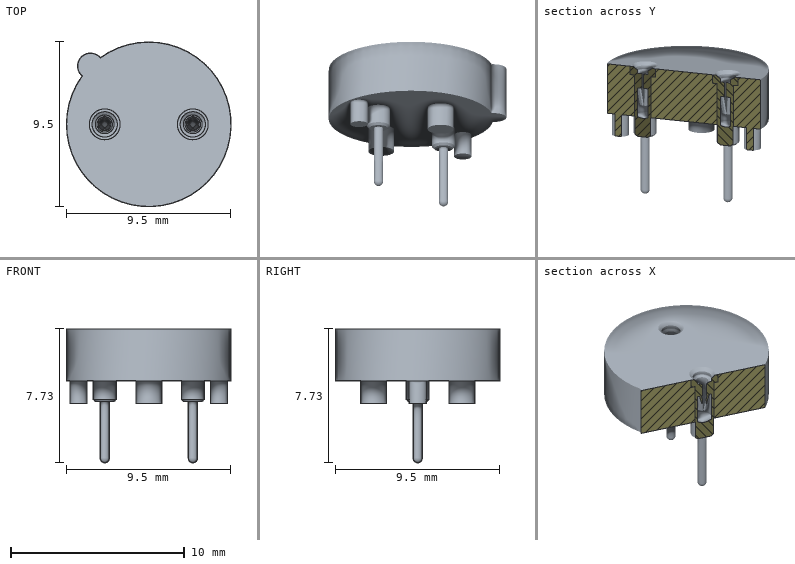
import cadquery as cq
import math

housing_diameter = 9.5
housing_height = 3.0
tab_diameter = 1.5
tab_angle = 135.0

foot_height = 1.32
large_foot_diameter = 1.5
large_foot_offset = 2.54
small_foot_diameter = 1.0
small_foot_offset = 4.05

pin_offset = 2.54
flange_diameter = 1.78
flange_thickness = 0.5
barrel_diameter = 1.33
barrel_drop = 1.2
barrel_chamfer = 0.13
tail_diameter = 0.53
tail_tip_z = -4.73

funnel_diameter = 1.46
cavity_diameter = 1.08
cavity_depth = 3.0
drill_point_angle = 118.0

clip_top_depth = 0.38
clip_bore_diameter = 0.71
clip_lead_in = 0.09
sleeve_length = 0.9
seam_width = 0.06
finger_length = 1.1
finger_thickness = 0.1
finger_root_half_width = 0.19
finger_tip_half_width = 0.15
finger_tip_gap = 0.156
finger_count = 4

housing_radius = housing_diameter / 2
flange_radius = flange_diameter / 2
barrel_radius = barrel_diameter / 2
tail_radius = tail_diameter / 2
cavity_radius = cavity_diameter / 2
funnel_radius = funnel_diameter / 2
clip_bore_radius = clip_bore_diameter / 2
flange_bottom_z = housing_height - flange_thickness
funnel_depth = funnel_radius - cavity_radius
cavity_bottom_z = housing_height - cavity_depth
drill_point_z = cavity_bottom_z - cavity_radius / math.tan(math.radians(drill_point_angle / 2))
clip_top_z = housing_height - clip_top_depth
finger_root_z = clip_top_z - sleeve_length
finger_tip_z = finger_root_z - finger_length


def revolve_profile(profile):
    """Revolve a radius-height profile drawn on XZ about the Z axis."""
    return profile.close().revolve(360, (0, 0, 0), (0, 1, 0))


def make_housing():
    disc = cq.Workplane("XY").circle(housing_radius).extrude(housing_height)
    tab_x = housing_radius * math.cos(math.radians(tab_angle))
    tab_y = housing_radius * math.sin(math.radians(tab_angle))
    tab = cq.Workplane("XY").center(tab_x, tab_y).circle(tab_diameter / 2).extrude(housing_height)
    large_feet = (
        cq.Workplane("XY")
        .pushPoints([(0, -large_foot_offset), (0, large_foot_offset)])
        .circle(large_foot_diameter / 2)
        .extrude(-foot_height)
    )
    small_feet = (
        cq.Workplane("XY")
        .pushPoints([(-small_foot_offset, 0), (small_foot_offset, 0)])
        .circle(small_foot_diameter / 2)
        .extrude(-foot_height)
    )
    pin_places = [(-pin_offset, 0), (pin_offset, 0)]
    barrel_holes = cq.Workplane("XY").pushPoints(pin_places).circle(barrel_radius).extrude(housing_height)
    flange_seats = (
        cq.Workplane("XY", origin=(0, 0, flange_bottom_z))
        .pushPoints(pin_places)
        .circle(flange_radius)
        .extrude(flange_thickness)
    )
    body = disc.union(tab).union(large_feet).union(small_feet)
    return body.cut(barrel_holes).cut(flange_seats)


def make_pin_blank():
    """Solid pin: flange, chamfered barrel and tail with a hemispherical tip."""
    tip_center_z = tail_tip_z + tail_radius
    tip_mid = tail_radius * math.sqrt(0.5)
    return revolve_profile(
        cq.Workplane("XZ")
        .moveTo(0, housing_height)
        .lineTo(flange_radius, housing_height)
        .lineTo(flange_radius, flange_bottom_z)
        .lineTo(barrel_radius, flange_bottom_z)
        .lineTo(barrel_radius, barrel_chamfer - barrel_drop)
        .lineTo(barrel_radius - barrel_chamfer, -barrel_drop)
        .lineTo(tail_radius, -barrel_drop)
        .lineTo(tail_radius, tip_center_z)
        .threePointArc((tip_mid, tip_center_z - tip_mid), (0, tail_tip_z))
    )


def make_socket_cavity():
    """Funnel mouth over a drilled hole with a conical bottom."""
    return revolve_profile(
        cq.Workplane("XZ")
        .moveTo(0, housing_height)
        .lineTo(funnel_radius, housing_height)
        .lineTo(cavity_radius, housing_height - funnel_depth)
        .lineTo(cavity_radius, cavity_bottom_z)
        .lineTo(0, drill_point_z)
    )


def make_clip_sleeve():
    """Sleeve lining the socket, with a chamfered mouth and a seam on its +Y side."""
    sleeve = revolve_profile(
        cq.Workplane("XZ")
        .moveTo(clip_bore_radius, finger_root_z)
        .lineTo(cavity_radius, finger_root_z)
        .lineTo(cavity_radius, clip_top_z)
        .lineTo(clip_bore_radius + clip_lead_in, clip_top_z)
        .lineTo(clip_bore_radius, clip_top_z - clip_lead_in)
    )
    seam = (
        cq.Workplane("XY", origin=(0, 0, finger_root_z))
        .center(0, cavity_radius / 2)
        .rect(seam_width, cavity_radius)
        .extrude(sleeve_length)
    )
    return sleeve.cut(seam)


def make_clip_finger():
    """Flat spring finger, leaning inward and narrowing towards its tip."""
    lean = (
        cq.Workplane("XZ")
        .moveTo(clip_bore_radius, finger_root_z)
        .lineTo(clip_bore_radius + finger_thickness, finger_root_z)
        .lineTo(finger_tip_gap + finger_thickness, finger_tip_z)
        .lineTo(finger_tip_gap, finger_tip_z)
        .close()
        .extrude(finger_root_half_width, both=True)
    )
    taper = (
        cq.Workplane("YZ")
        .moveTo(-finger_root_half_width, finger_root_z)
        .lineTo(finger_root_half_width, finger_root_z)
        .lineTo(finger_tip_half_width, finger_tip_z)
        .lineTo(-finger_tip_half_width, finger_tip_z)
        .close()
        .extrude(cavity_radius)
    )
    return lean.intersect(taper)


def make_pin():
    pin = make_pin_blank().cut(make_socket_cavity()).union(make_clip_sleeve())
    finger = make_clip_finger()
    finger_pitch = 360 / finger_count
    for index in range(finger_count):
        angle = (index + 0.5) * finger_pitch
        pin = pin.union(finger.rotate((0, 0, 0), (0, 0, 1), angle))
    return pin


housing = make_housing().solids()
pin = make_pin().solids()
pins = [pin.translate((side * pin_offset, 0, 0)) for side in (-1, 1)]

result = cq.Compound.makeCompound([housing.val(), *[placed_pin.val() for placed_pin in pins]])